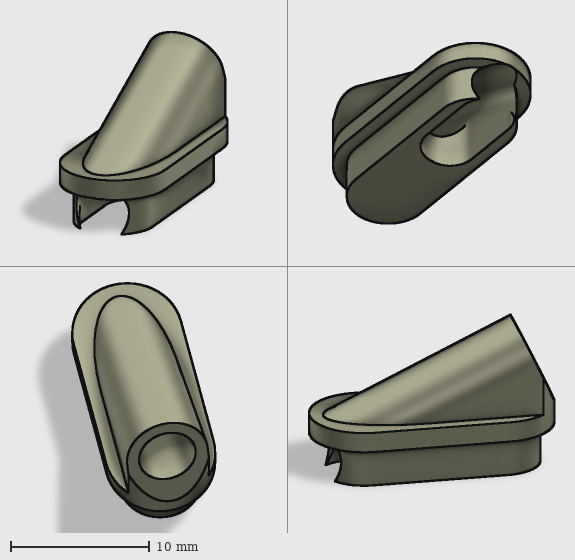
import cadquery as cq
import math

flange_length = 18.0
flange_width = 8.0
flange_thickness = 1.5
flange_inset = 0.999
plug_height = 3.0
plug_length = flange_length - 2 * flange_inset
plug_width = flange_width - 2 * flange_inset
flange_top = plug_height + flange_thickness

tube_tilt = 25.0
tube_radius = plug_width / 2
bore_radius = 4.2 / 2
axis_offset = 4.2
tilt = math.radians(tube_tilt)
rear_y = flange_length / 2
axis_end_y = rear_y - axis_offset * math.sin(tilt)
axis_end_z = flange_top + axis_offset * math.cos(tilt)
axis_ground_y = axis_end_y - axis_end_z / math.tan(tilt)
tube_length = 1.5 * flange_length

slot_rear_y = 0.0
slot_front_y = -8.17
slot_corner_radius = 2.0


def rounded_bar(length, width, bottom, height):
    """Upright bar with semicircular ends, running along Y."""
    return (
        cq.Workplane("XY", origin=(0, 0, bottom))
        .slot2D(length, width, 90)
        .extrude(height)
    )


def inclined_cylinder(radius):
    """Cylinder from the tube's end face down towards the front."""
    down_axis = cq.Vector(0, -math.cos(tilt), -math.sin(tilt))
    start = cq.Vector(0, axis_end_y, axis_end_z)
    return cq.Workplane(cq.Solid.makeCylinder(radius, tube_length, start, down_axis))


def block_below_axis(radius):
    """Wedge filling the space under the tube axis, as wide as the given cylinder."""
    return (
        cq.Workplane("YZ")
        .polyline([
            (axis_ground_y, 0),
            (axis_end_y, axis_end_z),
            (rear_y, flange_top),
            (rear_y, 0),
        ])
        .close()
        .extrude(radius, both=True)
    )


def make_outlet_slot():
    """Round-cornered slot, capped by the axis of the bore."""
    slot = (
        cq.Workplane("XY")
        .center(0, (slot_rear_y + slot_front_y) / 2)
        .rect(2 * bore_radius, slot_rear_y - slot_front_y)
        .extrude(axis_end_z)
        .edges("|Z")
        .fillet(slot_corner_radius)
    )
    return slot.intersect(block_below_axis(bore_radius))


supported_tube = block_below_axis(tube_radius).union(inclined_cylinder(tube_radius))
flange = rounded_bar(flange_length, flange_width, plug_height, flange_thickness)
upper_limit = rounded_bar(flange_length, flange_width, flange_top, flange_length)
upper_body = supported_tube.intersect(upper_limit)
plug = supported_tube.intersect(rounded_bar(plug_length, plug_width, 0, plug_height))

result = (
    flange.union(upper_body)
    .union(plug)
    .cut(inclined_cylinder(bore_radius))
    .cut(make_outlet_slot())
)